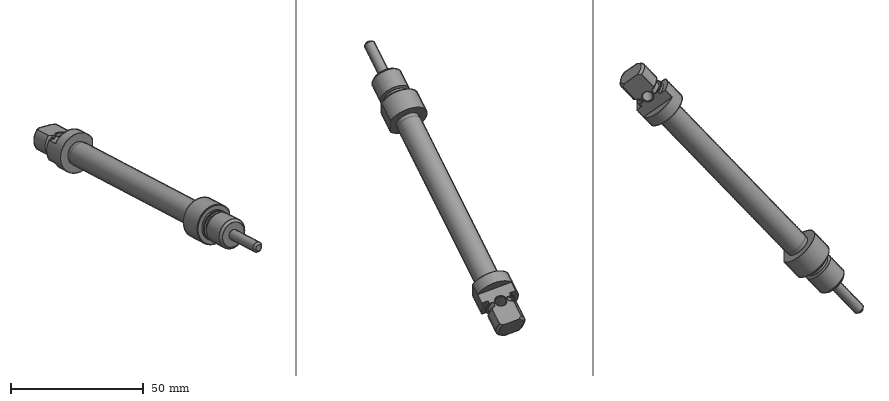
import cadquery as cq


total_length = 136.0
rod_reach = 16.0
nose_length = 12.0
rear_head_length = 8.8
front_head_length = 9.0
rear_head_start = nose_length
rear_head_end = rear_head_start + rear_head_length
nose_tip = total_length - rod_reach
front_head_end = nose_tip - nose_length
front_head_start = front_head_end - front_head_length

head_radius = 8.0
head_flat_offset = 7.0
front_head_chamfer = 0.3
clevis_thickness = 8.0
clevis_length = 16.0
pin_hole_radius = 2.0
pin_hole_chamfer = 0.3
pin_hole_x = 10.0

stud_radius = 6.0
stud_chamfer = 1.0
collar_length = 1.2
collar_chamfer = 0.3
groove_radius = 4.9
rear_groove_flare = 0.8
rear_groove_width = 1.8
front_groove_width = 1.4
front_groove_flare = 0.4

tube_radius = 4.8
tube_end_radius = 4.6
tube_end_length = 1.6

rod_radius = 2.0
rod_chamfer = 0.8


def turned(points):
    """Solid of revolution about X from the (x, radius) outline above the axis."""
    outline = [(points[0][0], 0)] + points + [(points[-1][0], 0)]
    profile = cq.Workplane("XZ").polyline(outline).close()
    return profile.revolve(360, (0, 0, 0), (1, 0, 0))


def make_head(start_x, length, rim_chamfer=0):
    """Round head with one flat on its +Y side and an optional chamfer on its +X rim."""
    end_x = start_x + length
    outline = [(start_x, head_radius), (end_x - rim_chamfer, head_radius)]
    if rim_chamfer > 0:
        outline.append((end_x, head_radius - rim_chamfer))
    head = turned(outline)
    flat_cutter = cq.Workplane("XY").box(
        length, head_radius, 2 * head_radius, centered=(False, False, True)
    )
    return head.cut(flat_cutter.translate((start_x, head_flat_offset, 0)))


def make_stud(head_face_x, direction, groove_width, flare):
    """Grooved stud growing from a head face along +X or -X (direction 1 or -1)."""
    groove_end = collar_length + groove_width
    outline = [
        (0, stud_radius),
        (collar_length - collar_chamfer, stud_radius),
        (collar_length, stud_radius - collar_chamfer),
        (collar_length, groove_radius),
        (groove_end, groove_radius),
        (groove_end + flare, stud_radius),
        (nose_length - stud_chamfer, stud_radius),
        (nose_length, stud_radius - stud_chamfer),
    ]
    return turned([(head_face_x + direction * offset, radius) for offset, radius in outline])


def make_rear_cap():
    cap = make_head(rear_head_start, rear_head_length).union(
        make_stud(rear_head_start, -1, rear_groove_width, rear_groove_flare)
    )
    side_cutter = cq.Workplane("XY").box(
        clevis_length, 2 * head_radius, head_radius, centered=(False, True, False)
    )
    cap = cap.cut(side_cutter.translate((0, 0, clevis_thickness / 2)))
    cap = cap.cut(side_cutter.translate((0, 0, -clevis_thickness / 2 - head_radius)))
    pin_hole = cq.Workplane("XY").center(pin_hole_x, 0).circle(pin_hole_radius)
    pin_hole = pin_hole.extrude(head_radius, both=True)
    cap = cap.cut(pin_hole)
    for side in (1, -1):
        rim_plane = cq.Workplane("XY", origin=(pin_hole_x, 0, side * clevis_thickness / 2))
        countersink = (
            rim_plane.circle(pin_hole_radius + pin_hole_chamfer)
            .workplane(offset=-side * pin_hole_chamfer)
            .circle(pin_hole_radius)
            .loft()
        )
        cap = cap.cut(countersink)
    return cap


def make_front_cap():
    head = make_head(front_head_start, front_head_length, front_head_chamfer)
    return head.union(make_stud(front_head_end, 1, front_groove_width, front_groove_flare))


def make_tube():
    """Barrel that narrows a little at both ends."""
    return turned([
        (rear_head_end, tube_end_radius),
        (rear_head_end + tube_end_length, tube_radius),
        (front_head_start - tube_end_length, tube_radius),
        (front_head_start, tube_end_radius),
    ])


def make_rod():
    rod = cq.Workplane("YZ", origin=(nose_tip, 0, 0)).circle(rod_radius).extrude(rod_reach)
    return rod.faces(">X").chamfer(rod_chamfer)


rear_cap = make_rear_cap()
front_cap = make_front_cap()
tube = make_tube()
rod = make_rod()

result = cq.Compound.makeCompound([rear_cap.val(), front_cap.val(), tube.val(), rod.val()])